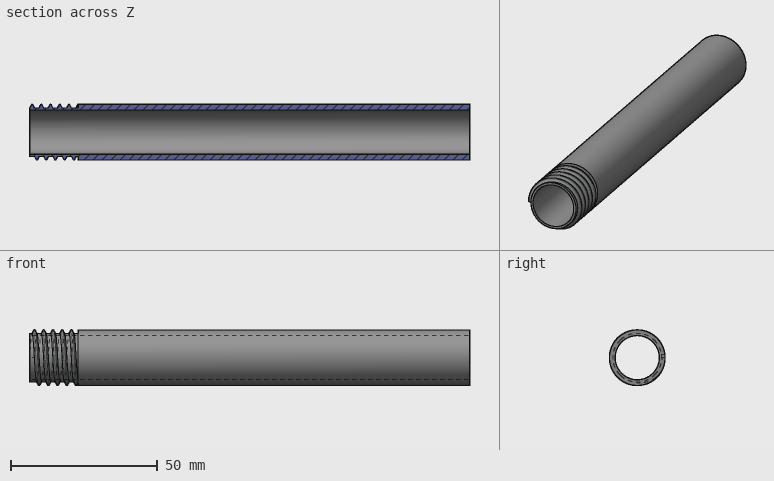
import cadquery as cq

length = 150.0
outer_radius = 19.0 / 2
bore_radius = 15.0 / 2
neck_radius = 16.6 / 2
neck_length = 16.5

pitch = 3.2
turns = 5
base_width = 1.6
crest_width = 0.6
crest_rise = 0.22
root_overlap = 0.3


def make_tube():
    """Body and neck with a bore right through, standing on Z = 0."""
    neck = cq.Workplane("XY").circle(neck_radius).extrude(neck_length)
    body = (
        cq.Workplane("XY", origin=(0, 0, neck_length))
        .circle(outer_radius)
        .extrude(length - neck_length)
    )
    return neck.union(body).faces("<Z").workplane().circle(bore_radius).cutThruAll()


def make_thread():
    """Helical ridge that starts at the end face and stops at the shoulder."""
    first_center = base_width / 2
    helix = cq.Wire.makeHelix(pitch, pitch * turns, neck_radius).translate(cq.Vector(0, 0, first_center))
    buried_radius = neck_radius - root_overlap
    flank_radius = outer_radius - crest_rise
    flank_slope = (base_width - crest_width) / (flank_radius - neck_radius)
    buried_width = base_width + root_overlap * flank_slope
    ridge = (
        cq.Workplane("XZ")
        .moveTo(buried_radius, first_center - buried_width / 2)
        .lineTo(flank_radius, first_center - crest_width / 2)
        .threePointArc((outer_radius, first_center), (flank_radius, first_center + crest_width / 2))
        .lineTo(buried_radius, first_center + buried_width / 2)
        .close()
        .sweep(cq.Workplane(obj=helix), isFrenet=True)
    )
    neck_space = cq.Workplane("XY").circle(2 * outer_radius).extrude(neck_length)
    return ridge.intersect(neck_space)


result = make_tube().union(make_thread()).rotate((0, 0, 0), (1, 1, 1), 120)